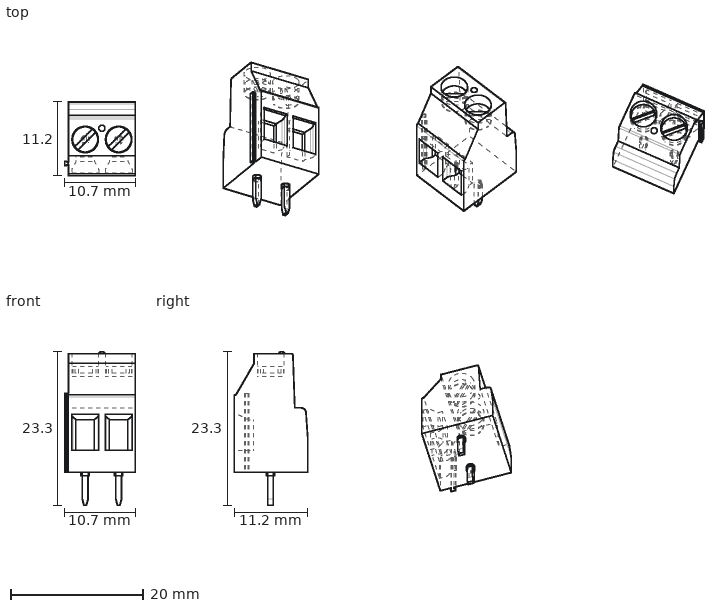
import cadquery as cq
import math


pole_pitch = 5.08
pole_count = 2
body_width = pole_pitch * pole_count
body_front = -5.52
body_back = 5.69
body_height = 17.99
pole_places = [(i - (pole_count - 1) / 2) * pole_pitch for i in range(pole_count)]

nose_radius = 0.3
nose_height = 11.77
brow_depth = 3.03
brow_height = 16.5

ledge_height = 9.79
ledge_radius = 0.8
rear_lean_start = 5.0
rear_lean_angle = 4.0
tower_rear = 3.7
tower_lean_angle = 2.0
tower_radius = 0.3

well_radius = 2.0
well_depth = 1.93
head_radius = 1.9
head_gap_depth = 1.5
slot_width = 0.7
slot_depth = 1.0
slot_angle = 45.0

entry_half_width = 2.03
entry_floor = 3.3
entry_top = 8.8
entry_throat_half_width = 1.4
entry_roof_flat = 0.51
entry_taper_end = 2.2
entry_depth = 2.9
entry_bend_radius = 0.89
entry_bend_depth = 1.16
entry_roof_drop = 0.82

rib_height = 11.98
rib_place = body_front + 1.9
rib_reach = 0.58
rib_width = 0.7
rib_neck_width = 0.4
rib_head_thickness = 0.23
rib_neck_length = 0.15

dome_place = 1.7
dome_height = 0.3
dome_radius = 0.51

pin_width = 0.93
pin_thickness = 0.86
pin_length = 5.0
pin_tip_width = 0.4
pin_tip_length = 1.0
collar_radius = 0.65
collar_height = 0.51


def fillet_edge_near(shape, point, radius):
    """Round the one edge whose midpoint lies at the given point."""
    return shape.edges(cq.selectors.NearestToPointSelector(point)).fillet(radius)


def housing_block():
    """Side outline extruded across the full width."""
    lean = math.tan(math.radians(rear_lean_angle))
    ledge_back = body_back - (ledge_height - rear_lean_start) * lean
    tower_lean = math.tan(math.radians(tower_lean_angle))
    tower_top_back = tower_rear - (body_height - ledge_height) * tower_lean
    nose_arc = nose_radius * math.sqrt(0.5)
    block = (
        cq.Workplane("YZ")
        .moveTo(body_front, 0)
        .lineTo(body_front, nose_height - nose_radius)
        .threePointArc(
            (body_front + nose_radius - nose_arc, nose_height - nose_radius + nose_arc),
            (body_front + nose_radius, nose_height),
        )
        .lineTo(body_front + brow_depth, brow_height)
        .lineTo(body_front + brow_depth, body_height)
        .lineTo(tower_top_back, body_height)
        .lineTo(tower_rear, ledge_height)
        .lineTo(ledge_back, ledge_height)
        .lineTo(body_back, rear_lean_start)
        .lineTo(body_back, 0)
        .close()
        .extrude(body_width / 2, both=True)
    )
    block = fillet_edge_near(block, (0, tower_top_back, body_height), tower_radius)
    return fillet_edge_near(block, (0, ledge_back, ledge_height), ledge_radius)


def side_rib():
    """Dovetail rib standing on the -X side, widest at its outer face."""
    wall = -body_width / 2
    outer = wall - rib_reach
    half = rib_width / 2
    neck = rib_neck_width / 2
    return (
        cq.Workplane("XY")
        .polyline([
            (wall, rib_place - neck),
            (wall - rib_neck_length, rib_place - neck),
            (outer + rib_head_thickness, rib_place - half),
            (outer, rib_place - half),
            (outer, rib_place + half),
            (outer + rib_head_thickness, rib_place + half),
            (wall - rib_neck_length, rib_place + neck),
            (wall, rib_place + neck),
        ])
        .close()
        .extrude(rib_height)
    )


def marker_dome():
    """Low spherical dome on the top face."""
    return cq.Workplane("XY").sphere(dome_radius).translate(
        (0, dome_place, body_height + dome_height - dome_radius)
    )


def screw_well(x):
    """Round well with a clearance ring and a driver slot around the screw head at its floor."""
    floor = body_height - well_depth
    well = cq.Workplane("XY", origin=(x, 0, floor)).circle(well_radius).extrude(well_depth)
    ring = (
        cq.Workplane("XY", origin=(x, 0, floor - head_gap_depth))
        .circle(well_radius)
        .circle(head_radius)
        .extrude(head_gap_depth)
    )
    head_disc = cq.Workplane("XY", origin=(x, 0, floor - slot_depth)).circle(head_radius).extrude(slot_depth)
    slot = (
        cq.Workplane("XY")
        .box(2 * well_radius, slot_width, slot_depth, centered=(True, True, False))
        .rotate((0, 0, 0), (0, 0, 1), slot_angle)
        .translate((x, 0, floor - slot_depth))
        .intersect(head_disc)
    )
    return well.union(ring).union(slot)


def wire_entry(x):
    """Funnel with a flat floor, a sloping roof and side walls that bend inwards."""
    bend = body_front + entry_bend_depth
    taper_end = body_front + entry_taper_end
    back = body_front + entry_depth
    plan = (
        cq.Workplane("XY", origin=(x, 0, entry_floor))
        .polyline([
            (-entry_half_width, body_front),
            (-entry_half_width, bend),
            (-entry_throat_half_width, taper_end),
            (-entry_throat_half_width, back),
            (entry_throat_half_width, back),
            (entry_throat_half_width, taper_end),
            (entry_half_width, bend),
            (entry_half_width, body_front),
        ])
        .close()
        .extrude(entry_top - entry_floor)
    )
    for side in (-1, 1):
        corner = (x + side * entry_half_width, bend, (entry_floor + entry_top) / 2)
        plan = fillet_edge_near(plan, corner, entry_bend_radius)
    section = (
        cq.Workplane("YZ", origin=(x, 0, 0))
        .polyline([
            (body_front, entry_floor),
            (body_front, entry_top),
            (body_front + entry_roof_flat, entry_top),
            (taper_end, entry_top - entry_roof_drop),
            (back, entry_top - entry_roof_drop),
            (back, entry_floor),
        ])
        .close()
        .extrude(entry_half_width, both=True)
    )
    return plan.intersect(section)


def collar(x):
    """Round standoff around a pin, below the housing."""
    return cq.Workplane("XY", origin=(x, 0, -collar_height)).circle(collar_radius).extrude(collar_height)


def make_pin(x):
    """Rectangular pin with a tip narrowed in X."""
    half = pin_width / 2
    tip = pin_tip_width / 2
    return (
        cq.Workplane("XZ", origin=(x, 0, 0))
        .polyline([
            (-half, 0),
            (-half, pin_tip_length - pin_length),
            (-tip, -pin_length),
            (tip, -pin_length),
            (half, pin_tip_length - pin_length),
            (half, 0),
        ])
        .close()
        .extrude(pin_thickness / 2, both=True)
    )


pins = [make_pin(x) for x in pole_places]

housing = housing_block().union(side_rib()).union(marker_dome())
for x, pin in zip(pole_places, pins):
    housing = housing.union(collar(x)).cut(screw_well(x)).cut(wire_entry(x)).cut(pin)

result = cq.Compound.makeCompound([housing.val(), *[pin.val() for pin in pins]])